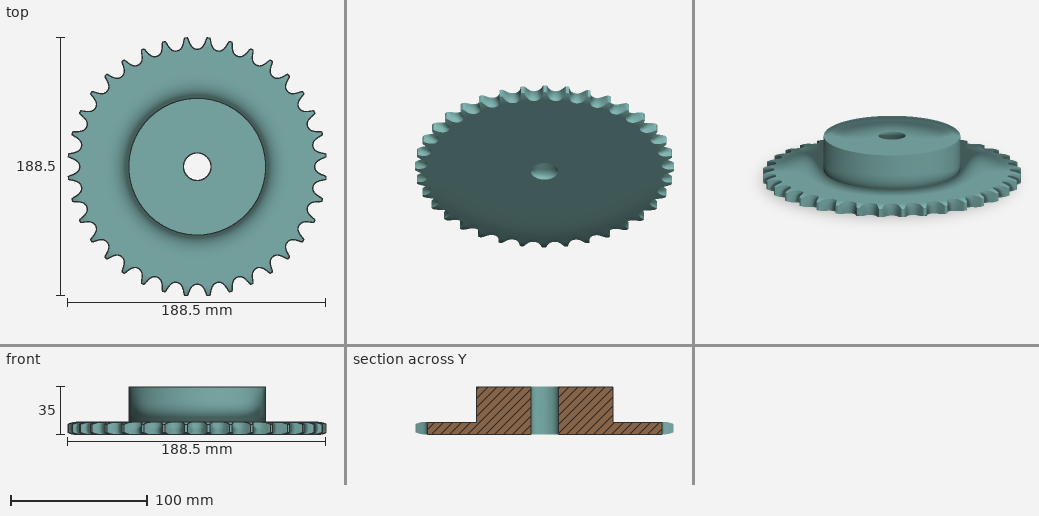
import cadquery as cq
import math

TOOTH_COUNT = 36
CHAIN_PITCH = 15.875
ROLLER_DIAMETER = 10.16
TIP_RADIUS = 94.55
PLATE_THICKNESS = 9.1
TOTAL_HEIGHT = 35.0
HUB_DIAMETER = 100.0
BORE_DIAMETER = 20.0
ROLLER_CLEARANCE = 0.038

TOOTH_STEP = 360.0 / TOOTH_COUNT
HALF_STEP = TOOTH_STEP / 2
PITCH_RADIUS = CHAIN_PITCH / (2 * math.sin(math.radians(HALF_STEP)))

SEAT_HALF_ANGLE = 90 - (35 + 60 / TOOTH_COUNT)
WORKING_ANGLE = 18 - 56 / TOOTH_COUNT
TOPPING_ANGLE = 17 - 64 / TOOTH_COUNT
WORKING_CENTRE_OFFSET = 0.8 * ROLLER_DIAMETER
TOPPING_CENTRE_OFFSET = 1.4 * ROLLER_DIAMETER
SEAT_RADIUS = 0.5025 * ROLLER_DIAMETER + ROLLER_CLEARANCE
WORKING_RADIUS = SEAT_RADIUS + WORKING_CENTRE_OFFSET
FLANK_LENGTH = (
    TOPPING_CENTRE_OFFSET * math.sin(math.radians(TOPPING_ANGLE))
    - WORKING_CENTRE_OFFSET * math.sin(math.radians(WORKING_ANGLE))
)

NOMINAL_TIP_RADIUS = CHAIN_PITCH / 2 * (0.6 + 1 / math.tan(math.radians(HALF_STEP)))
RELIEF_DEPTH = 0.5 * CHAIN_PITCH
RELIEF_START_RADIUS = NOMINAL_TIP_RADIUS - RELIEF_DEPTH
RELIEF_CURVE_RADIUS = 1.063 * CHAIN_PITCH


def arc_point(centre, radius, angle):
    """Point on an arc, with the angle in degrees measured from -Y towards +X."""
    turn = math.radians(angle)
    return (centre[0] + radius * math.sin(turn), centre[1] - radius * math.cos(turn))


def turned(point, angle):
    """Point turned about the origin, clockwise by an angle in degrees."""
    turn = math.radians(angle)
    x, y = point
    return (
        x * math.cos(turn) + y * math.sin(turn),
        y * math.cos(turn) - x * math.sin(turn),
    )


def gap_side_points():
    """Points up the +X side of the tooth gap centred on +Y, from the roller seat to the tip."""
    seat_centre = (0, PITCH_RADIUS)
    seat_end = arc_point(seat_centre, SEAT_RADIUS, SEAT_HALF_ANGLE)

    working_centre = arc_point(seat_centre, -WORKING_CENTRE_OFFSET, SEAT_HALF_ANGLE)
    flank_angle = SEAT_HALF_ANGLE + WORKING_ANGLE
    working_middle = arc_point(working_centre, WORKING_RADIUS, SEAT_HALF_ANGLE + WORKING_ANGLE / 2)
    working_end = arc_point(working_centre, WORKING_RADIUS, flank_angle)

    flank_end = arc_point(working_end, FLANK_LENGTH, flank_angle + 90)

    topping_centre = turned((TOPPING_CENTRE_OFFSET, 0), HALF_STEP)
    topping_centre = (topping_centre[0], topping_centre[1] + PITCH_RADIUS)
    topping_radius = math.dist(topping_centre, flank_end)
    centre_distance = math.hypot(*topping_centre)
    centre_bearing = math.atan2(topping_centre[0], topping_centre[1])
    tip_swing = math.acos(
        (TIP_RADIUS**2 + centre_distance**2 - topping_radius**2)
        / (2 * TIP_RADIUS * centre_distance)
    )
    tip_corner = turned((0, TIP_RADIUS), math.degrees(centre_bearing - tip_swing))

    def topping_angle_at(point):
        """Bearing of an arc point seen from the topping centre, turned half round."""
        return math.degrees(math.atan2(topping_centre[0] - point[0], point[1] - topping_centre[1]))

    topping_middle_angle = (topping_angle_at(flank_end) + topping_angle_at(tip_corner)) / 2
    topping_middle = arc_point(topping_centre, -topping_radius, topping_middle_angle)
    return [
        seat_end,
        working_middle,
        working_end,
        flank_end,
        topping_middle,
        tip_corner,
    ]


def toothed_plate():
    """Plate of full thickness, drawn gap by gap clockwise from the one on +Y."""
    right_side = gap_side_points()
    left_side = [(-x, y) for x, y in right_side]
    root = (0, PITCH_RADIUS - SEAT_RADIUS)
    outline = cq.Workplane("XY").moveTo(*left_side[-1])
    for gap in range(TOOTH_COUNT):
        bearing = gap * TOOTH_STEP
        down = [turned(point, bearing) for point in reversed(left_side)]
        up = [turned(point, bearing) for point in right_side]
        tip_middle = turned((0, TIP_RADIUS), bearing + HALF_STEP)
        next_corner = turned(left_side[-1], bearing + TOOTH_STEP)

        _, topping_middle, flank_end, working_end, working_middle, seat_end = down
        outline = (
            outline.threePointArc(topping_middle, flank_end)
            .lineTo(*working_end)
            .threePointArc(working_middle, seat_end)
        )

        seat_end, working_middle, working_end, flank_end, topping_middle, tip_corner = up
        outline = (
            outline.threePointArc(turned(root, bearing), seat_end)
            .threePointArc(working_middle, working_end)
            .lineTo(*flank_end)
            .threePointArc(topping_middle, tip_corner)
            .threePointArc(tip_middle, next_corner)
        )
    return outline.close().extrude(PLATE_THICKNESS)


def relief_envelope():
    """Disc whose rim curves in from both faces, tangent to them at the relief start."""
    def relief_drop(radius):
        run = radius - RELIEF_START_RADIUS
        return RELIEF_CURVE_RADIUS - math.sqrt(RELIEF_CURVE_RADIUS**2 - run**2)

    rim_radius = NOMINAL_TIP_RADIUS
    middle_radius = rim_radius - RELIEF_DEPTH / 2
    rim_drop = relief_drop(rim_radius)
    middle_drop = relief_drop(middle_radius)
    return (
        cq.Workplane("XZ")
        .lineTo(RELIEF_START_RADIUS, 0)
        .threePointArc((middle_radius, middle_drop), (rim_radius, rim_drop))
        .lineTo(rim_radius, PLATE_THICKNESS - rim_drop)
        .threePointArc(
            (middle_radius, PLATE_THICKNESS - middle_drop),
            (RELIEF_START_RADIUS, PLATE_THICKNESS),
        )
        .lineTo(0, PLATE_THICKNESS)
        .close()
        .revolve(360, (0, 0, 0), (0, 1, 0))
    )


def cylinder(diameter):
    """Cylinder on the Z axis over the full height of the part."""
    return cq.Workplane("XY").circle(diameter / 2).extrude(TOTAL_HEIGHT)


sprocket_plate = toothed_plate().intersect(relief_envelope())
result = sprocket_plate.union(cylinder(HUB_DIAMETER)).cut(cylinder(BORE_DIAMETER))